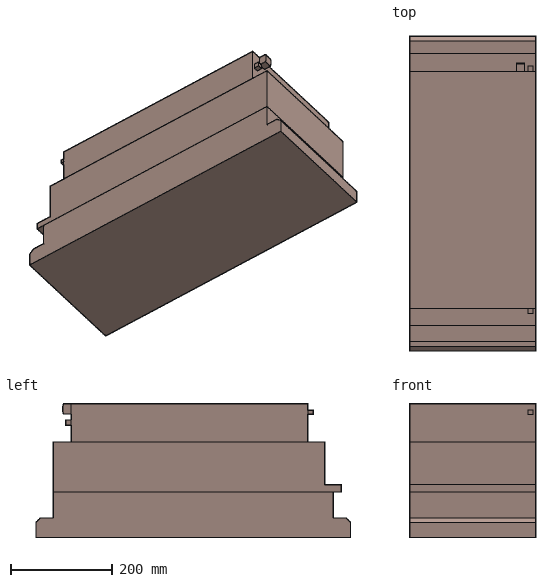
import cadquery as cq

WIDTH = 250.0
LENGTH = 623.0
HEIGHT = 265.0

FOOT_HEIGHT = 39.0
FOOT_CHAMFER = 9.5
PLINTH_HALF_LENGTH = 277.0
BASE_HEIGHT = 90.0

MIDDLE_FRONT_Y = -260.5
MIDDLE_BACK_Y = PLINTH_HALF_LENGTH
MIDDLE_TOP_Z = 189.5
LIP_FRONT_Y = -293.0
LIP_THICKNESS = 15.0

UPPER_FRONT_Y = -227.0
UPPER_BACK_Y = 242.0

PIN_X = 114.5
PIN_WIDTH = 10.0
PIN_LENGTH = 10.5
FRONT_PIN_HEIGHT = 8.0
FRONT_PIN_Z = 248.0
BACK_PIN_HEIGHT = 10.5
BACK_PIN_Z = 227.5

CONNECTOR_X = 95.0
CONNECTOR_WIDTH = 16.0
CONNECTOR_HEIGHT = 20.5
CONNECTOR_LENGTH = 17.0
CONNECTOR_END_DEPTH = 2.0
CONNECTOR_END_HEIGHT = 8.0


def extrude_across(points, width=WIDTH, center_x=0):
    """Extrude a (Y, Z) outline along X, centred on center_x."""
    outline = cq.Workplane("YZ", origin=(center_x, 0, 0)).polyline(points).close()
    return outline.extrude(width / 2, both=True)


def make_base():
    half_length = LENGTH / 2
    shoulder_z = FOOT_HEIGHT - FOOT_CHAMFER
    back_half = [
        (half_length, 0),
        (half_length, shoulder_z),
        (half_length - FOOT_CHAMFER, FOOT_HEIGHT),
        (PLINTH_HALF_LENGTH, FOOT_HEIGHT),
        (PLINTH_HALF_LENGTH, BASE_HEIGHT),
    ]
    front_half = [(-y, z) for y, z in reversed(back_half)]
    return extrude_across(back_half + front_half)


def make_middle_housing():
    lip_top_z = BASE_HEIGHT + LIP_THICKNESS
    return extrude_across([
        (MIDDLE_BACK_Y, BASE_HEIGHT),
        (MIDDLE_BACK_Y, MIDDLE_TOP_Z),
        (MIDDLE_FRONT_Y, MIDDLE_TOP_Z),
        (MIDDLE_FRONT_Y, lip_top_z),
        (LIP_FRONT_Y, lip_top_z),
        (LIP_FRONT_Y, BASE_HEIGHT),
    ])


def make_upper_housing():
    return extrude_across([
        (UPPER_BACK_Y, MIDDLE_TOP_Z),
        (UPPER_BACK_Y, HEIGHT),
        (UPPER_FRONT_Y, HEIGHT),
        (UPPER_FRONT_Y, MIDDLE_TOP_Z),
    ])


def make_pin(center_y, center_z, height):
    return cq.Workplane("XY").box(PIN_WIDTH, PIN_LENGTH, height).translate((PIN_X, center_y, center_z))


def make_connector():
    bottom_z = HEIGHT - CONNECTOR_HEIGHT
    middle_z = HEIGHT - CONNECTOR_HEIGHT / 2
    end_y = UPPER_BACK_Y + CONNECTOR_LENGTH
    rim_y = end_y - CONNECTOR_END_DEPTH
    half_end = CONNECTOR_END_HEIGHT / 2
    outline = [
        (UPPER_BACK_Y, bottom_z),
        (UPPER_BACK_Y, HEIGHT),
        (rim_y, HEIGHT),
        (end_y, middle_z + half_end),
        (end_y, middle_z - half_end),
        (rim_y, bottom_z),
    ]
    return extrude_across(outline, CONNECTOR_WIDTH, CONNECTOR_X)


base = make_base()
middle_housing = make_middle_housing()
upper_housing = make_upper_housing()
connector = make_connector()

pin_places = [
    (UPPER_FRONT_Y - PIN_LENGTH / 2, FRONT_PIN_Z, FRONT_PIN_HEIGHT),
    (UPPER_BACK_Y + PIN_LENGTH / 2, BACK_PIN_Z, BACK_PIN_HEIGHT),
]
pins = [make_pin(*place).val() for place in pin_places]

result = cq.Compound.makeCompound([
    base.val(),
    middle_housing.val(),
    upper_housing.val(),
    connector.val(),
    *pins,
])